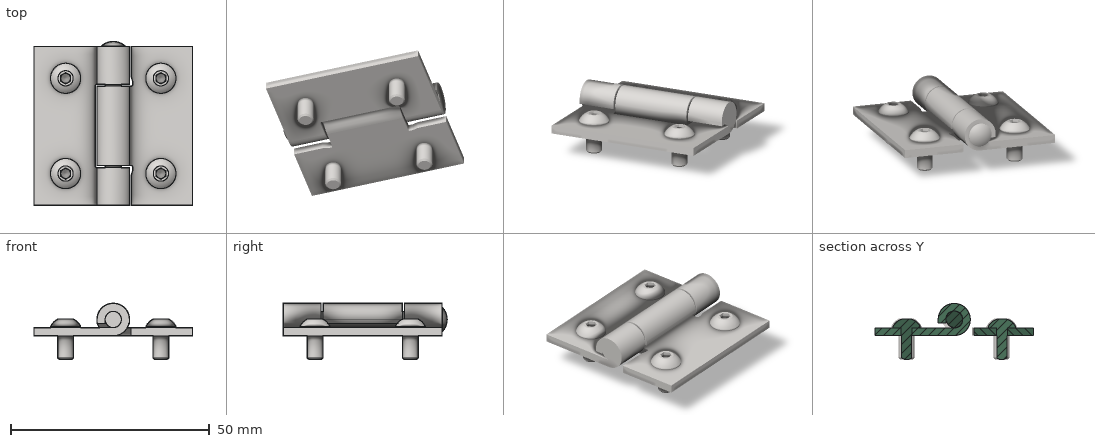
import cadquery as cq
import math

hinge_width = 40.0
hinge_length = hinge_width
knuckle_diameter = 8.2
pin_diameter = 4.1
knuckle_radius = knuckle_diameter / 2
pin_radius = pin_diameter / 2
leaf_thickness = knuckle_radius - pin_radius
pin_axis_z = knuckle_radius
curl_tail = 1.0

middle_knuckle_length = 20.0
knuckle_gap = 0.5
leaf_edge_x = 4.5
window_length = middle_knuckle_length + 2 * knuckle_gap
corner_radius = 0.37
relief_edge_x = 4.87
relief_straight = 1.15
relief_length = 2.48

pin_head_diameter = 6.0
pin_head_height = 1.3
pin_head_rim = 0.12

screw_spacing = 24.0
shank_diameter = 4.0
shank_protrusion = 6.0
tip_chamfer = 0.4
head_diameter = 7.6
head_height = 2.2
head_rim_height = 0.3
head_flat_diameter = 3.85
socket_width = 2.48
socket_depth = 1.3
socket_cone_angle = 120.0
socket_turn = 30.0

cut_height = 2 * knuckle_diameter
screw_places = [(sx * screw_spacing / 2, sy * screw_spacing / 2) for sx in (-1, 1) for sy in (-1, 1)]


def curled_sheet(length):
    """Plate on the -X side whose edge curls up the +X side of the pin and over it."""
    diagonal = math.sqrt(0.5)
    tail_z = pin_axis_z - curl_tail

    def on_circle(radius, x_factor, z_factor):
        return (radius * x_factor, pin_axis_z + radius * z_factor)

    return (
        cq.Workplane("XZ", origin=(0, length / 2, 0))
        .moveTo(-hinge_width / 2, 0)
        .lineTo(0, 0)
        .threePointArc(on_circle(knuckle_radius, 1, 0), on_circle(knuckle_radius, 0, 1))
        .threePointArc(on_circle(knuckle_radius, -diagonal, diagonal), on_circle(knuckle_radius, -1, 0))
        .lineTo(-knuckle_radius, tail_z)
        .lineTo(-pin_radius, tail_z)
        .lineTo(-pin_radius, pin_axis_z)
        .threePointArc(on_circle(pin_radius, -diagonal, diagonal), on_circle(pin_radius, 0, 1))
        .threePointArc(on_circle(pin_radius, 1, 0), on_circle(pin_radius, 0, -1))
        .lineTo(-hinge_width / 2, leaf_thickness)
        .close()
        .extrude(length)
    )


def drill_screw_holes(leaf):
    holes = cq.Workplane("XY").pushPoints(screw_places).circle(shank_diameter / 2).extrude(leaf_thickness)
    return leaf.cut(holes)


def make_outer_leaf():
    """-X leaf: one knuckle at each end and a window for the middle knuckle."""
    window_depth = leaf_edge_x + knuckle_diameter
    window = (
        cq.Workplane("XY")
        .center(window_depth / 2 - leaf_edge_x, 0)
        .rect(window_depth, window_length)
        .extrude(cut_height)
        .edges("|Z and <X")
        .fillet(corner_radius)
    )
    return drill_screw_holes(curled_sheet(hinge_length).cut(window))


def make_middle_leaf():
    """+X leaf: the middle knuckle, with a tapered relief beside each of its ends."""
    leaf = curled_sheet(hinge_length).mirror("YZ")
    shoulder_y = middle_knuckle_length / 2
    end_y = hinge_length
    clearance = (
        cq.Workplane("XY")
        .polyline([
            (-knuckle_diameter, shoulder_y),
            (relief_edge_x, shoulder_y),
            (relief_edge_x, shoulder_y + relief_straight),
            (leaf_edge_x, shoulder_y + relief_length),
            (leaf_edge_x, end_y),
            (-knuckle_diameter, end_y),
        ])
        .close()
        .extrude(cut_height)
        .edges(cq.selectors.NearestToPointSelector((relief_edge_x, shoulder_y, cut_height / 2)))
        .fillet(corner_radius)
    )
    return drill_screw_holes(leaf.cut(clearance).cut(clearance.mirror("XZ")))


def make_pin():
    """Plain pin, flush with the -Y end, with a domed head against the +Y knuckle."""
    end_y = hinge_length / 2
    head_radius = pin_head_diameter / 2
    dome_height = pin_head_height - pin_head_rim
    dome_radius = (head_radius**2 + dome_height**2) / (2 * dome_height)
    dome_center_y = end_y + pin_head_height - dome_radius
    mid_angle = math.asin(head_radius / dome_radius) / 2
    dome_middle = (dome_radius * math.sin(mid_angle), dome_center_y + dome_radius * math.cos(mid_angle))
    return (
        cq.Workplane("XY")
        .moveTo(0, -end_y)
        .lineTo(pin_radius, -end_y)
        .lineTo(pin_radius, end_y)
        .lineTo(head_radius, end_y)
        .lineTo(head_radius, end_y + pin_head_rim)
        .threePointArc(dome_middle, (0, end_y + pin_head_height))
        .close()
        .revolve(360, (0, 0, 0), (0, 1, 0))
        .translate((0, 0, pin_axis_z))
    )


def make_socket():
    """Hexagonal recess with corners toward +Y and -Y and a conical bottom."""
    across_corners = socket_width / math.cos(math.pi / 6)
    cone_height = socket_width / 2 / math.tan(math.radians(socket_cone_angle / 2))
    hexagon = cq.Workplane("XY").polygon(6, across_corners).extrude(-socket_depth)
    cone = cq.Workplane("XY").add(
        cq.Solid.makeCone(socket_width / 2, 0, cone_height, cq.Vector(0, 0, -socket_depth), cq.Vector(0, 0, -1))
    )
    return hexagon.union(cone).rotate((0, 0, 0), (0, 0, 1), socket_turn)


def make_screw(x, y):
    """Button-head screw whose head rests on top of the leaf."""
    shank_radius = shank_diameter / 2
    rim_radius = head_diameter / 2
    flat_radius = head_flat_diameter / 2
    rim_z = leaf_thickness + head_rim_height
    top_z = leaf_thickness + head_height
    tip_z = -shank_protrusion

    dome_center_z = (top_z**2 + flat_radius**2 - rim_z**2 - rim_radius**2) / (2 * (top_z - rim_z))
    dome_radius = math.hypot(rim_radius, rim_z - dome_center_z)
    rim_angle = math.asin(rim_radius / dome_radius)
    flat_angle = math.asin(flat_radius / dome_radius)
    mid_angle = (rim_angle + flat_angle) / 2
    dome_middle = (dome_radius * math.sin(mid_angle), dome_center_z + dome_radius * math.cos(mid_angle))

    body = (
        cq.Workplane("XZ")
        .moveTo(0, tip_z)
        .lineTo(shank_radius - tip_chamfer, tip_z)
        .lineTo(shank_radius, tip_z + tip_chamfer)
        .lineTo(shank_radius, leaf_thickness)
        .lineTo(rim_radius, leaf_thickness)
        .lineTo(rim_radius, rim_z)
        .threePointArc(dome_middle, (flat_radius, top_z))
        .lineTo(0, top_z)
        .close()
        .revolve(360, (0, 0, 0), (0, 1, 0))
    )
    return body.cut(make_socket().translate((0, 0, top_z))).translate((x, y, 0))


outer_leaf = make_outer_leaf()
middle_leaf = make_middle_leaf()
pin = make_pin()
screws = [make_screw(x, y) for x, y in screw_places]

result = cq.Compound.makeCompound(
    [outer_leaf.val(), middle_leaf.val(), pin.val(), *[screw.val() for screw in screws]]
)